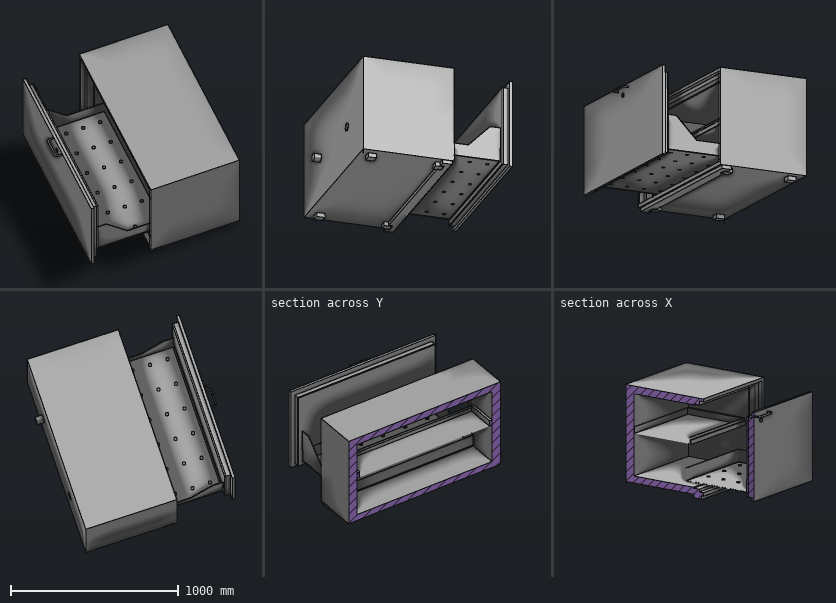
import cadquery as cq

width = 1102.0
depth = 575.0
top = 630.0
bottom = 26.0
opening_width = 1062.0
opening_bottom = 50.0
opening_top = 610.0
rebate_depth = 29.0
rebate_width = 998.0
rebate_bottom = 67.0
rebate_top = 586.0
seat_depth = 70.0
cavity_width = 974.0
cavity_bottom = 73.0
cavity_top = 580.0
cavity_back = 511.0
corner_pin = 2.0

port_diameter = 50.0
port_x = 250.0
port_z = 290.0
open_port_length = 44.0
capped_port_length = 3.0

foot_side = 52.0
foot_x = 478.0
front_foot_y = 76.0
rear_foot_y = 501.0
plinth_width = 1093.0
plinth_front = 12.0
plinth_depth = 62.0
plinth_bottom = 4.0

shelf_front = 90.0
shelf_top = 377.0
shelf_bottom = 334.0
shelf_side_wall = 17.0
shelf_lip_height = 17.0
shelf_ledge = 8.0
sheet = 3.0

pan_width = 937.0
pan_front = -320.0
pan_back = 131.0
pan_bottom = 100.0
pan_top = 182.0
bend_radius = 4.0
gusset_top = 320.0
gusset_flat = 66.0
gusset_length = 203.0

insert_clearance = 3.0
insert_height = 3.0
hole_diameter = 20.0
hole_shift_x = 3.0
hole_columns = 6
hole_rows = 4
hole_pitch_x = 160.0
hole_pitch_y = 110.0

door_width = 1051.0
door_bottom = 53.0
door_top = 605.0
door_front = -376.0
door_thickness = 19.0
core_width = 990.0
core_bottom = 74.0
core_top = 571.0
liner_thickness = 9.0
liner_front = pan_front - liner_thickness
lock_diameter = 25.0
lock_height = 3.0
lock_z = 544.0

rod_diameter = 10.2
handle_half_span = 66.0
handle_front = -415.0
handle_z = 581.0
handle_bend = 17.0


def block(x_size, y_range, z_range):
    """Box centred on X = 0 between the given Y and Z limits."""
    y_size = y_range[1] - y_range[0]
    z_size = z_range[1] - z_range[0]
    corner = (-x_size / 2, y_range[0], z_range[0])
    return cq.Workplane("XY").box(x_size, y_size, z_size, centered=False).translate(corner)


def back_port(x, length):
    """Round stub on the back face of the cabinet."""
    return (
        cq.Workplane("XZ", origin=(x, depth, port_z))
        .circle(port_diameter / 2)
        .extrude(-length)
    )


def make_cabinet():
    body = block(width, (0, depth), (bottom, top))
    body = body.cut(block(opening_width, (0, rebate_depth), (opening_bottom, opening_top)))
    body = body.cut(block(rebate_width, (rebate_depth, seat_depth), (rebate_bottom, rebate_top)))
    body = body.cut(block(cavity_width, (seat_depth, cavity_back), (cavity_bottom, cavity_top)))
    body = body.union(back_port(port_x, open_port_length))
    body = body.union(back_port(-port_x, capped_port_length))
    plinth_range = (plinth_front, plinth_front + plinth_depth)
    body = body.union(block(plinth_width, plinth_range, (plinth_bottom, bottom)))
    feet = (
        cq.Workplane("XY")
        .pushPoints([(x, y) for x in (-foot_x, foot_x) for y in (front_foot_y, rear_foot_y)])
        .rect(foot_side, foot_side)
        .extrude(bottom)
    )
    body = body.union(feet)
    pin = (
        cq.Workplane("XY")
        .box(corner_pin, corner_pin, bottom, centered=False)
        .translate((-width / 2, depth - corner_pin, 0))
    )
    return body.union(pin)


def make_shelf():
    lip_front = shelf_front + shelf_ledge
    lip_bottom = shelf_top - shelf_lip_height
    lower = block(cavity_width, (shelf_front, cavity_back), (shelf_bottom, lip_bottom))
    upper = block(cavity_width, (lip_front, cavity_back), (lip_bottom, shelf_top))
    hollow = block(
        cavity_width - 2 * shelf_side_wall,
        (lip_front + sheet, cavity_back - sheet),
        (shelf_bottom + sheet, shelf_top),
    )
    return lower.union(upper).cut(hollow)


def make_pan():
    outside = block(pan_width, (pan_front, pan_back), (pan_bottom, pan_top))
    outside = outside.edges("|Z or <Z").fillet(bend_radius)
    inside = block(
        pan_width - 2 * sheet,
        (pan_front + sheet, pan_back - sheet),
        (pan_bottom + sheet, pan_top),
    )
    inside = inside.edges("|Z or <Z").fillet(bend_radius - sheet)
    pan = outside.cut(inside)
    for x in (-pan_width / 2, pan_width / 2 - sheet):
        gusset = (
            cq.Workplane("YZ", origin=(x, 0, 0))
            .moveTo(pan_front, pan_top)
            .lineTo(pan_front + gusset_length, pan_top)
            .lineTo(pan_front + gusset_flat, gusset_top)
            .lineTo(pan_front, gusset_top)
            .close()
            .extrude(sheet)
        )
        pan = pan.union(gusset)
    return pan


def make_insert():
    margin = sheet + insert_clearance
    floor = pan_bottom + sheet
    plate = block(
        pan_width - 2 * margin,
        (pan_front + margin, pan_back - margin),
        (floor, floor + insert_height),
    )
    holes = (
        cq.Workplane("XY", origin=(hole_shift_x, (pan_front + pan_back) / 2, floor))
        .rarray(hole_pitch_x, hole_pitch_y, hole_columns, hole_rows)
        .circle(hole_diameter / 2)
        .extrude(insert_height)
    )
    return plate.cut(holes)


def make_door():
    panel_back = door_front + door_thickness
    panel = block(door_width, (door_front, panel_back), (door_bottom, door_top))
    core = block(core_width, (panel_back, liner_front), (core_bottom, core_top))
    lock = (
        cq.Workplane("XZ", origin=(0, door_front, lock_z))
        .circle(lock_diameter / 2)
        .extrude(lock_height)
    )
    return panel.union(core).union(lock)


def make_door_liner():
    return block(core_width, (liner_front, pan_front), (core_bottom, core_top))


def make_handle():
    grip_y = handle_front + rod_diameter / 2
    corner_y = grip_y + handle_bend
    straight = handle_half_span - handle_bend
    path = (
        cq.Workplane("XY", origin=(0, 0, handle_z))
        .moveTo(-handle_half_span, door_front)
        .lineTo(-handle_half_span, corner_y)
        .radiusArc((-straight, grip_y), -handle_bend)
        .lineTo(straight, grip_y)
        .radiusArc((handle_half_span, corner_y), -handle_bend)
        .lineTo(handle_half_span, door_front)
    )
    section = cq.Workplane("XZ", origin=(-handle_half_span, door_front, handle_z))
    return section.circle(rod_diameter / 2).sweep(path)


cabinet = make_cabinet()
shelf = make_shelf()
pan = make_pan()
insert = make_insert()
door = make_door()
door_liner = make_door_liner()
handle = make_handle()

bodies = [cabinet, shelf, pan, insert, door, door_liner, handle]
result = cq.Compound.makeCompound([body.val() for body in bodies])